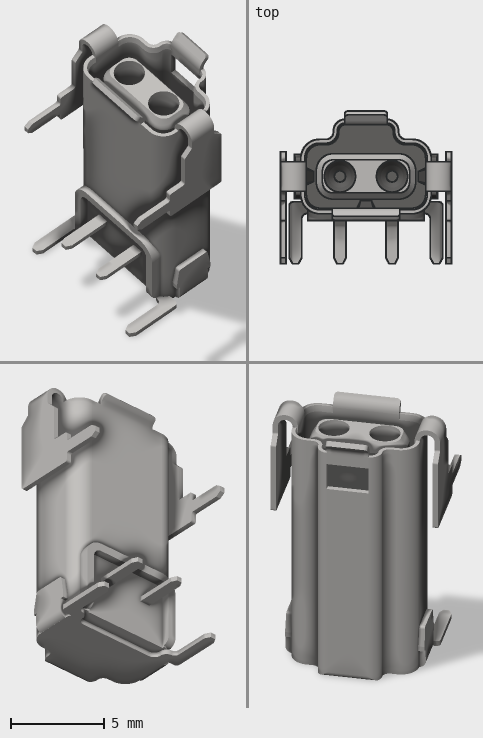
import cadquery as cq
import math

SHEET = 0.3
BEND_IN = 0.4
BEND_OUT = BEND_IN + SHEET
SHELL_HALF_X = 3.5
SHELL_HALF_Y = 2.0
SHELL_CORNER = 1.0
SHELL_TOP = 14.0
BUMP_HALF_X = 1.76
BUMP_BACK = 3.08
BUMP_CORNER = 0.65
BUMP_ROOT = 0.38
RIM_FLARE = 0.09
RIM_FLARE_DEPTH = 0.35
SEARCH = 0.05

FLOOR_Z = 7.0
NOSE_HALF_X = 2.67
NOSE_HALF_Y = 1.22
NOSE_CORNER = 0.9
NOSE_TOP = 13.75
NOSE_CHAMFER = 0.33
NOSE_CHAMFER_HEIGHT = 0.57
CONTACT_X = 1.4
SOCKET_RADIUS = 0.84
SOCKET_DEPTH = 4.0
FUNNEL_RADIUS = 0.6
FUNNEL_DEPTH = 0.5
SEAT_RADIUS = 0.3
SEAT_DEPTH = 0.5
KEY_HEIGHT = 1.5
KEY_DRAFT = 3.0
KEY_LENGTH = 0.38
SIDE_KEY_ROOT = 0.45
SIDE_KEY_TIP = 0.27
FRONT_KEY_ROOT = 0.48
FRONT_KEY_TIP = 0.3

TAB_BEND = 45.0
TAB_TIP_ROUND = 0.2
TAB_ROOT_DEPTH = 0.7
BACK_TAB_HALF = 1.15
BACK_TAB_BEND_Z = 14.08
BACK_TAB_TIP = 0.455
FRONT_TAB_HALF = 1.82
FRONT_TAB_BEND_Z = 14.0
FRONT_TAB_TIP = 0.35
WINDOW_BOTTOM = 11.75
WINDOW_TOP = 13.36

HOOK_HALF_Y = 0.8
LEAF_OUTER_X = SHELL_HALF_X - SHEET + 2 * BEND_OUT
LEAF_BOTTOM = 8.95
LEAF_BACK = 1.33
LEAF_FRONT = -1.31
LEAF_SHOULDER_TOP = 13.5
LEAF_SHOULDER_BOTTOM = 13.0
FOOT_TOP = 10.85
FOOT_FRONT = -2.37
LEAF_PIN_TOP = 10.27
LEAF_PIN_BOTTOM = 9.53
LEAF_ROUND = 0.12
PIN_FRONT = -4.7
PIN_TAPER = 0.32
PIN_TIP_HALF = 0.16

FRAME_HALF_X = 3.14
FRAME_WIDTH = 0.48
FRAME_TOP = 4.68
FRAME_BOTTOM = 0.41
FRAME_FRONT = FOOT_FRONT
FRAME_CORNER = 1.0
FRAME_END_ROUND = 0.46
POCKET_BACK = -1.87
CONTACT_PIN_HALF = 0.325
CONTACT_PIN_Z = 2.62
CONTACT_PIN_THICK = 0.28

PLATE_LEG_OUTER = 4.13
PLATE_LEG_INNER = 3.45
PLATE_LEG_BACK = -1.36
PLATE_LEG_ROUND = 0.22
PLATE_LEG_FILLET = 0.28
PLATE_RECESS_HALF = 2.77
PLATE_RECESS_DEPTH = 0.87
PLATE_RECESS_ROUND = 0.43
CLIP_TOP = 2.53
CLIP_BARB_BOTTOM = 1.11
CLIP_BARB_TOP = 1.4
CLIP_HALF_Y = 1.0
CLIP_BARB_HALF = 1.2
CLIP_UPPER_X = 3.81
CLIP_LOWER_X = 3.87
CLIP_ROUND = 0.15
CLIP_BEND = 0.42


def box(x0, x1, y0, y1, z0, z1):
    return cq.Workplane("XY").box(x1 - x0, y1 - y0, z1 - z0, centered=False).translate((x0, y0, z0))


def both_sides(shape):
    return shape.union(shape.mirror("YZ"))


def shell_block(inset, bottom, top):
    """Solid prism of the shell outline, moved inwards by `inset`."""
    half_x = SHELL_HALF_X - inset
    half_y = SHELL_HALF_Y - inset
    bump_x = BUMP_HALF_X - inset
    main = box(-half_x, half_x, -half_y, half_y, bottom, top)
    main = main.edges("|Z").fillet(SHELL_CORNER - inset)
    bump = box(-bump_x, bump_x, 0, BUMP_BACK - inset, bottom, top)
    bump = bump.edges("|Z and >Y").fillet(BUMP_CORNER - inset)
    roots = cq.selectors.BoxSelector(
        (-bump_x - SEARCH, half_y - SEARCH, bottom),
        (bump_x + SEARCH, half_y + SEARCH, top),
    )
    return main.union(bump).edges("|Z").edges(roots).fillet(BUMP_ROOT + inset)


def shell_with_cavity():
    body = shell_block(0, SHEET, SHELL_TOP).cut(shell_block(SHEET, FLOOR_Z, SHELL_TOP))
    rim = shell_block(SHEET - RIM_FLARE, SHELL_TOP - RIM_FLARE_DEPTH, SHELL_TOP).faces(">Z").wires().val()
    taper = math.degrees(math.atan2(RIM_FLARE, RIM_FLARE_DEPTH))
    flare = cq.Solid.extrudeLinear(rim, [], cq.Vector(0, 0, -RIM_FLARE_DEPTH), taper)
    return body.cut(cq.Workplane(flare))


def nose():
    block = box(-NOSE_HALF_X, NOSE_HALF_X, -NOSE_HALF_Y, NOSE_HALF_Y, FLOOR_Z, NOSE_TOP)
    block = block.edges("|Z").fillet(NOSE_CORNER)
    block = block.faces(">Z").edges().chamfer(NOSE_CHAMFER_HEIGHT, NOSE_CHAMFER)
    socket_end = NOSE_TOP - SOCKET_DEPTH
    funnel_end = socket_end - FUNNEL_DEPTH
    seat_end = funnel_end - SEAT_DEPTH
    socket = (
        cq.Workplane("XZ")
        .moveTo(0, NOSE_TOP)
        .lineTo(SOCKET_RADIUS, NOSE_TOP)
        .lineTo(SOCKET_RADIUS, socket_end)
        .lineTo(FUNNEL_RADIUS, funnel_end)
        .lineTo(SEAT_RADIUS, seat_end)
        .lineTo(0, seat_end)
        .close()
        .revolve(360, (0, 0, 0), (0, 1, 0))
    )
    return block.cut(both_sides(socket.translate((CONTACT_X, 0, 0))))


def key(root_half, tip_half):
    """Ramp on the floor, with drafted flanks, rising towards +X to its high end at X = 0."""
    plan = cq.Workplane("XY").polyline([
        (SHEET, -root_half),
        (0, -root_half),
        (-KEY_LENGTH, -tip_half),
        (-KEY_LENGTH, tip_half),
        (0, root_half),
        (SHEET, root_half),
    ]).close().extrude(KEY_HEIGHT, taper=KEY_DRAFT)
    slope = cq.Workplane("XZ").polyline(
        [(0, 0), (-KEY_LENGTH, 0), (0, KEY_HEIGHT)]
    ).close().extrude(root_half, both=True)
    return plan.intersect(slope)


def keys():
    side = key(SIDE_KEY_ROOT, SIDE_KEY_TIP).translate((SHELL_HALF_X - SHEET, 0, FLOOR_Z))
    front = key(FRONT_KEY_ROOT, FRONT_KEY_TIP).rotate((0, 0, 0), (0, 0, 1), -90)
    return both_sides(side).union(front.translate((0, SHEET - SHELL_HALF_Y, FLOOR_Z)))


def flared_tab(half_width, outer_y, bend_z, tip_length):
    """Tab continuing the back wall upwards and bent outwards by 45 degrees."""
    centre_y = outer_y + BEND_IN

    def on_bend(radius, degrees):
        angle = math.radians(degrees)
        return (centre_y - radius * math.cos(angle), bend_z + radius * math.sin(angle))

    step = tip_length * math.sin(math.radians(TAB_BEND))
    inner_end = on_bend(BEND_OUT, TAB_BEND)
    outer_end = on_bend(BEND_IN, TAB_BEND)
    root_z = SHELL_TOP - TAB_ROOT_DEPTH
    tab = (
        cq.Workplane("YZ")
        .moveTo(outer_y - SHEET, root_z)
        .lineTo(outer_y - SHEET, bend_z)
        .threePointArc(on_bend(BEND_OUT, TAB_BEND / 2), inner_end)
        .lineTo(inner_end[0] + step, inner_end[1] + step)
        .lineTo(outer_end[0] + step, outer_end[1] + step)
        .lineTo(*outer_end)
        .threePointArc(on_bend(BEND_IN, TAB_BEND / 2), (outer_y, bend_z))
        .lineTo(outer_y, root_z)
        .close()
        .extrude(half_width, both=True)
    )
    tip_corners = cq.selectors.ParallelDirSelector(cq.Vector(0, 1, -1))
    return tab.edges(tip_corners).fillet(TAB_TIP_ROUND)


def latch_window():
    return box(-BACK_TAB_HALF, BACK_TAB_HALF, SHELL_HALF_Y, BUMP_BACK, WINDOW_BOTTOM, WINDOW_TOP)


def hook():
    """Half-round strap over the rim, carrying a flat leaf with a forward pin."""
    inner_x = SHELL_HALF_X - SHEET
    centre_x = SHELL_HALF_X + BEND_IN
    strap = (
        cq.Workplane("XZ")
        .moveTo(inner_x, SHELL_TOP)
        .threePointArc((centre_x, SHELL_TOP + BEND_OUT), (LEAF_OUTER_X, SHELL_TOP))
        .lineTo(LEAF_OUTER_X - SHEET, SHELL_TOP)
        .threePointArc((centre_x, SHELL_TOP + BEND_IN), (SHELL_HALF_X, SHELL_TOP))
        .close()
        .extrude(2 * HOOK_HALF_Y)
        .translate((0, HOOK_HALF_Y, 0))
    )
    root = box(
        inner_x, SHELL_HALF_X, -HOOK_HALF_Y, HOOK_HALF_Y,
        SHELL_TOP - RIM_FLARE_DEPTH, SHELL_TOP,
    )
    pin_mid = (LEAF_PIN_TOP + LEAF_PIN_BOTTOM) / 2
    leaf = (
        cq.Workplane("YZ")
        .polyline([
            (HOOK_HALF_Y, SHELL_TOP),
            (HOOK_HALF_Y, LEAF_SHOULDER_TOP),
            (LEAF_BACK, LEAF_SHOULDER_BOTTOM),
            (LEAF_BACK, LEAF_BOTTOM),
            (FOOT_FRONT, LEAF_BOTTOM),
            (FOOT_FRONT, LEAF_PIN_BOTTOM),
            (PIN_FRONT + PIN_TAPER, LEAF_PIN_BOTTOM),
            (PIN_FRONT, pin_mid - PIN_TIP_HALF),
            (PIN_FRONT, pin_mid + PIN_TIP_HALF),
            (PIN_FRONT + PIN_TAPER, LEAF_PIN_TOP),
            (FOOT_FRONT, LEAF_PIN_TOP),
            (FOOT_FRONT, FOOT_TOP),
            (LEAF_FRONT, FOOT_TOP),
            (LEAF_FRONT, LEAF_SHOULDER_BOTTOM),
            (-HOOK_HALF_Y, LEAF_SHOULDER_TOP),
            (-HOOK_HALF_Y, SHELL_TOP),
        ])
        .close()
        .extrude(SHEET)
        .translate((LEAF_OUTER_X - SHEET, 0, 0))
    )
    foot_and_shoulders = cq.selectors.BoxSelector(
        (0, FOOT_FRONT - SEARCH, LEAF_BOTTOM - SEARCH),
        (LEAF_OUTER_X, LEAF_BACK + SEARCH, SHELL_TOP - SEARCH),
    )
    leaf = leaf.edges("|X").edges(foot_and_shoulders).fillet(LEAF_ROUND)
    return strap.union(root).union(leaf)


def front_frame():
    """U-shaped flange standing out of the front wall around the contact pins."""
    frame_back = SHELL_CORNER - SHELL_HALF_Y
    outer = box(-FRAME_HALF_X, FRAME_HALF_X, FRAME_FRONT, frame_back, FRAME_BOTTOM, FRAME_TOP)
    outer = outer.edges("|Y and >Z").fillet(FRAME_CORNER)
    return outer.edges("|X and <Y and <Z").fillet(FRAME_END_ROUND)


def frame_pocket():
    half_x = FRAME_HALF_X - FRAME_WIDTH
    pocket = box(-half_x, half_x, FRAME_FRONT, POCKET_BACK, 0, FRAME_TOP - FRAME_WIDTH)
    return pocket.edges("|Y and >Z").fillet(FRAME_CORNER - FRAME_WIDTH)


def contact_pin():
    pin = cq.Workplane("XY").polyline([
        (-CONTACT_PIN_HALF, POCKET_BACK),
        (-CONTACT_PIN_HALF, PIN_FRONT + PIN_TAPER),
        (-PIN_TIP_HALF, PIN_FRONT),
        (PIN_TIP_HALF, PIN_FRONT),
        (CONTACT_PIN_HALF, PIN_FRONT + PIN_TAPER),
        (CONTACT_PIN_HALF, POCKET_BACK),
    ]).close().extrude(CONTACT_PIN_THICK)
    return pin.translate((CONTACT_X, 0, CONTACT_PIN_Z))


def plate_leg():
    """Solder leg running forward from the bottom plate."""
    middle = (PLATE_LEG_OUTER + PLATE_LEG_INNER) / 2
    leg = (
        cq.Workplane("XY")
        .moveTo(0, PLATE_LEG_BACK)
        .lineTo(PLATE_LEG_OUTER, PLATE_LEG_BACK)
        .lineTo(PLATE_LEG_OUTER, PIN_FRONT + PIN_TAPER)
        .lineTo(middle + PIN_TIP_HALF, PIN_FRONT)
        .lineTo(middle - PIN_TIP_HALF, PIN_FRONT)
        .lineTo(PLATE_LEG_INNER, PIN_FRONT + PIN_TAPER)
        .lineTo(PLATE_LEG_INNER, -SHELL_HALF_Y)
        .lineTo(0, -SHELL_HALF_Y)
        .close()
        .extrude(SHEET)
    )
    leg = leg.edges("|Z and >X and >Y").fillet(PLATE_LEG_ROUND)
    inner_corner = cq.selectors.NearestToPointSelector((PLATE_LEG_INNER, -SHELL_HALF_Y, SHEET / 2))
    return leg.edges("|Z").edges(inner_corner).fillet(PLATE_LEG_FILLET)


def plate_recess():
    """Notch in the front edge of the bottom plate, with rounded inner corners."""
    notch = box(
        -PLATE_RECESS_HALF, PLATE_RECESS_HALF,
        -2 * SHELL_HALF_Y, PLATE_RECESS_DEPTH - SHELL_HALF_Y, 0, SHEET,
    )
    return notch.edges("|Z and >Y").fillet(PLATE_RECESS_ROUND)


def bottom_plate():
    """Plate closing the shell, folded from the back wall and carrying both solder legs."""
    plate = shell_block(0, 0, SHEET)
    fold = box(-SHELL_HALF_X, SHELL_HALF_X, -SHELL_HALF_Y, BUMP_BACK, 0, 2 * SHEET)
    plate = plate.intersect(fold.edges("|X and >Y and <Z").fillet(SHEET))
    plate = plate.union(both_sides(plate_leg())).clean().cut(plate_recess())
    mouth = cq.selectors.BoxSelector(
        (-PLATE_RECESS_HALF - SEARCH, -SHELL_HALF_Y - SEARCH, 0),
        (PLATE_RECESS_HALF + SEARCH, -SHELL_HALF_Y + SEARCH, SHEET),
    )
    return plate.edges("|Z").edges(mouth).fillet(PLATE_RECESS_ROUND)


def side_clip():
    """Barbed strip folded up from the bottom plate against the side wall."""
    inner_x = SHELL_HALF_X - SHEET
    section = (
        cq.Workplane("XZ")
        .polyline([(inner_x, 0), (CLIP_LOWER_X, 0), (CLIP_UPPER_X, CLIP_TOP), (inner_x, CLIP_TOP)])
        .close()
        .extrude(CLIP_BARB_HALF, both=True)
    )
    section = section.edges("|Y and >X").fillet(CLIP_BEND)
    half_outline = [
        (CLIP_HALF_Y, 0),
        (CLIP_HALF_Y, CLIP_BARB_BOTTOM),
        (CLIP_BARB_HALF, CLIP_BARB_BOTTOM),
        (CLIP_BARB_HALF, CLIP_BARB_TOP),
        (CLIP_HALF_Y, CLIP_TOP),
    ]
    other_half = [(-y, z) for y, z in reversed(half_outline)]
    outline = cq.Workplane("YZ").polyline(half_outline + other_half).close().extrude(CLIP_LOWER_X)
    outline = outline.edges("|X and >Z").fillet(CLIP_ROUND)
    return section.intersect(outline)


front_tab = flared_tab(FRONT_TAB_HALF, SHELL_HALF_Y, FRONT_TAB_BEND_Z, FRONT_TAB_TIP).mirror("XZ")
back_tab = flared_tab(BACK_TAB_HALF, BUMP_BACK, BACK_TAB_BEND_Z, BACK_TAB_TIP)

result = (
    shell_with_cavity()
    .union(nose())
    .union(keys())
    .cut(latch_window())
    .union(front_tab)
    .union(back_tab)
    .union(both_sides(hook()))
    .union(front_frame())
    .cut(frame_pocket())
    .union(both_sides(contact_pin()))
    .union(bottom_plate())
    .union(both_sides(side_clip()))
    .clean()
)